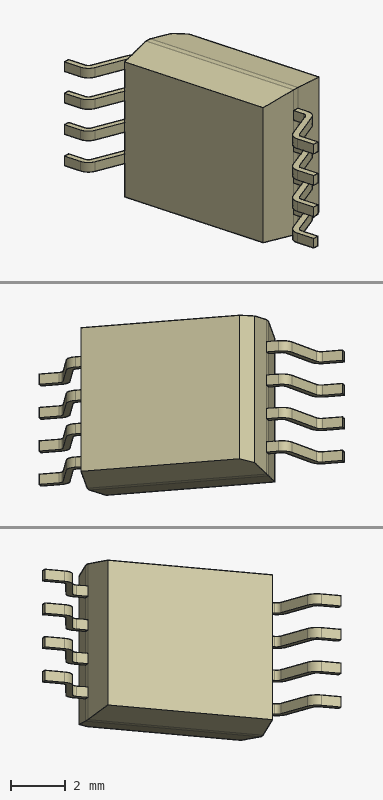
import cadquery as cq
import math


LEAD_SPAN = 11.5
HEIGHT = 3.61
BODY_LENGTH = 5.85
BODY_WIDTH = 6.81

LEADS_PER_SIDE = 4
LEAD_PITCH = 1.26
LEAD_WIDTH = 0.39
LEAD_THICKNESS = 0.25
FOOT_LENGTH = 0.9
LEG_ANGLE = 69.5
BEND_INNER_RADIUS = 0.21
BEND_OUTER_RADIUS = BEND_INNER_RADIUS + LEAD_THICKNESS

STANDOFF = 0.29
BAND_BOTTOM = 1.83
BAND_TOP = BAND_BOTTOM + LEAD_THICKNESS
DRAFT_ANGLE = 7.6
BEVEL_DROP = 0.45


def drafted_half(start_height, height):
    """Body half that narrows from the band; a negative height goes downward."""
    return (
        cq.Workplane("XZ", origin=(0, start_height, 0))
        .rect(BODY_WIDTH, BODY_LENGTH)
        .extrude(-height, taper=DRAFT_ANGLE)
    )


def make_body():
    """Moulded body: straight band, two drafted halves and the bevelled top edge."""
    band = (
        cq.Workplane("XZ", origin=(0, BAND_BOTTOM, 0))
        .rect(BODY_WIDTH, BODY_LENGTH)
        .extrude(BAND_BOTTOM - BAND_TOP)
    )
    lower_half = drafted_half(BAND_BOTTOM, STANDOFF - BAND_BOTTOM)
    upper_half = drafted_half(BAND_TOP, HEIGHT - BAND_TOP)
    body = band.union(lower_half).union(upper_half)

    bevel_height = HEIGHT - BEVEL_DROP
    side_x = -BODY_WIDTH / 2 + (bevel_height - BAND_TOP) * math.tan(math.radians(DRAFT_ANGLE))
    bevel_waste = (
        cq.Workplane("XY")
        .moveTo(side_x, bevel_height)
        .lineTo(side_x + BEVEL_DROP, HEIGHT)
        .lineTo(side_x, HEIGHT)
        .close()
        .extrude(BODY_LENGTH / 2, both=True)
    )
    return body.cut(bevel_waste)


def make_lead():
    """Lead on the +X side, centred on Z = 0, running from the body side to its toe."""
    toe_x = LEAD_SPAN / 2
    root_x = BODY_WIDTH / 2
    leg_slope = math.tan(math.radians(LEG_ANGLE))
    corner_shift = LEAD_THICKNESS * math.tan(math.radians(LEG_ANGLE / 2))

    foot_upper_x = toe_x - FOOT_LENGTH
    foot_lower_x = foot_upper_x - corner_shift
    shoulder_lower_x = foot_lower_x - BAND_BOTTOM / leg_slope
    shoulder_upper_x = shoulder_lower_x + corner_shift

    inner_corners = [(foot_upper_x, LEAD_THICKNESS), (shoulder_lower_x, BAND_BOTTOM)]
    outer_corners = [(foot_lower_x, 0), (shoulder_upper_x, BAND_TOP)]

    lead = (
        cq.Workplane("XY")
        .polyline([
            (toe_x, 0),
            outer_corners[0],
            inner_corners[1],
            (root_x, BAND_BOTTOM),
            (root_x, BAND_TOP),
            outer_corners[1],
            inner_corners[0],
            (toe_x, LEAD_THICKNESS),
        ])
        .close()
        .extrude(LEAD_WIDTH / 2, both=True)
    )
    lead = round_bends(lead, inner_corners, BEND_INNER_RADIUS)
    return round_bends(lead, outer_corners, BEND_OUTER_RADIUS)


def round_bends(lead, corners, radius):
    """Fillet the edges along Z that pass through the given corners."""
    for x, y in corners:
        corner_edge = lead.edges(cq.selectors.NearestToPointSelector((x, y, 0)))
        lead = corner_edge.fillet(radius)
    return lead


def make_leads():
    """Both rows of leads; the -X row is the +X row mirrored."""
    right_lead = make_lead()
    left_lead = right_lead.mirror("YZ")
    leads = []
    for index in range(LEADS_PER_SIDE):
        z = (index - (LEADS_PER_SIDE - 1) / 2) * LEAD_PITCH
        for lead in (right_lead, left_lead):
            leads.append(lead.translate((0, 0, z)).val())
    return leads


body = make_body()
leads = make_leads()
result = cq.Compound.makeCompound([body.val(), *leads])